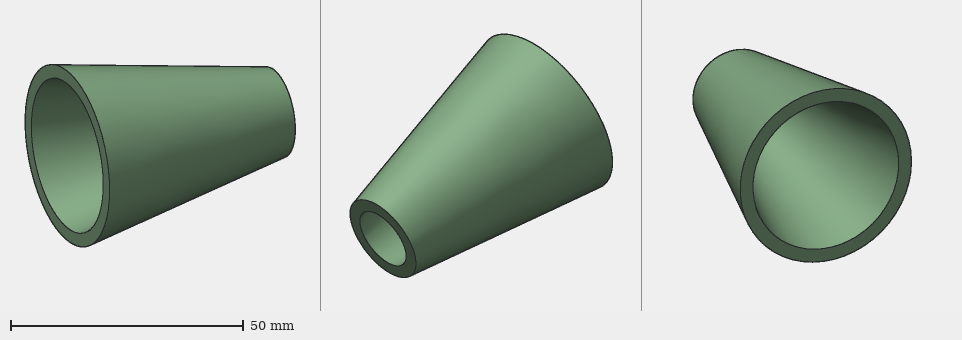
import cadquery as cq

length = 50.0
wide_radius = 20.0
narrow_radius = 10.0
wall = 3.0

wall_section = (
    cq.Workplane("XY")
    .moveTo(wide_radius - wall, 0)
    .lineTo(wide_radius, 0)
    .lineTo(narrow_radius, length)
    .lineTo(narrow_radius - wall, length)
    .close()
)

result = wall_section.revolve(360, (0, 0, 0), (0, 1, 0))